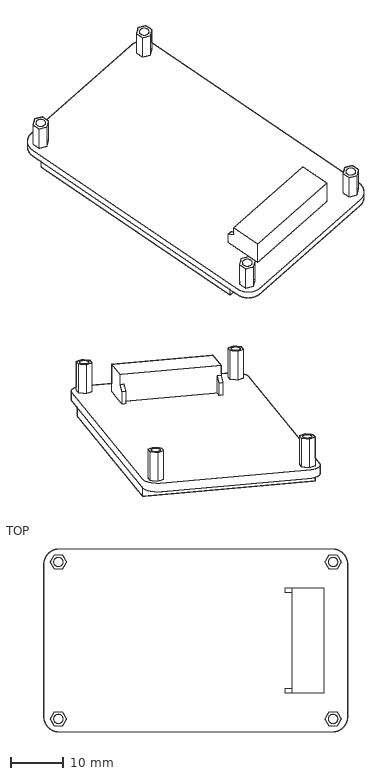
import cadquery as cq

board_length = 58.4
board_width = 35.2
board_thickness = 1.75
corner_radius = 3.05

module_left = -24.45
module_right = 23.8
module_width = 34.35
module_thickness = 2.35

standoff_height = 5.85
standoff_corner_diameter = 3.15
standoff_hole_diameter = 1.8
standoff_spacing_x = 52.75
standoff_spacing_y = 30.15

connector_left = 18.5
connector_right = 24.65
connector_width = 20.15
connector_height = 5.55
ear_reach = 1.4
ear_thickness = 0.8
ear_front_height = 2.5
ear_back_height = 3.5


def make_board():
    board = cq.Workplane("XY").box(
        board_length, board_width, board_thickness, centered=(True, True, False)
    )
    return board.edges("|Z").fillet(corner_radius)


def make_module():
    module_length = module_right - module_left
    return (
        cq.Workplane("XY")
        .center((module_left + module_right) / 2, 0)
        .rect(module_length, module_width)
        .extrude(-module_thickness)
    )


def make_standoffs():
    """Four hexagonal pillars, each with a hole down to the board."""
    return (
        cq.Workplane("XY", origin=(0, 0, board_thickness))
        .rect(standoff_spacing_x, standoff_spacing_y, forConstruction=True)
        .vertices()
        .polygon(6, standoff_corner_diameter)
        .extrude(standoff_height)
        .faces(">Z")
        .workplane(origin=(0, 0, 0))
        .rect(standoff_spacing_x, standoff_spacing_y, forConstruction=True)
        .vertices()
        .hole(standoff_hole_diameter, standoff_height)
    )


def make_ear(outer_y, inward):
    """Slope-topped ear, flush with a connector end and thickening inward (+1 or -1 along Y)."""
    ear_left = connector_left - ear_reach
    return (
        cq.Workplane("XZ", origin=(0, outer_y, board_thickness))
        .moveTo(ear_left, 0)
        .lineTo(connector_left, 0)
        .lineTo(connector_left, ear_back_height)
        .lineTo(ear_left, ear_front_height)
        .close()
        .extrude(-inward * ear_thickness)
    )


def make_connector():
    connector_length = connector_right - connector_left
    body = (
        cq.Workplane("XY", origin=(0, 0, board_thickness))
        .center((connector_left + connector_right) / 2, 0)
        .rect(connector_length, connector_width)
        .extrude(connector_height)
    )
    for side in (-1, 1):
        body = body.union(make_ear(side * connector_width / 2, -side))
    return body


result = (
    make_board()
    .union(make_module())
    .union(make_standoffs())
    .union(make_connector())
)